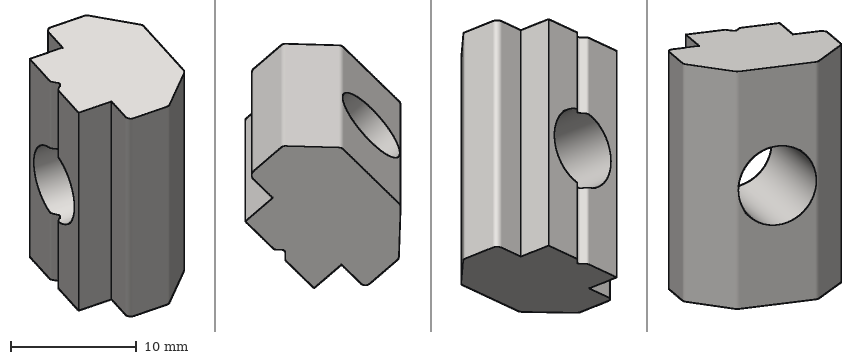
import cadquery as cq

width = 13.5
depth = 10.0
length = 20.0

stem_width = 8.0
stem_depth = 3.0
back_chamfer = 3.3
head_corner_radius = 0.5

groove_half_width = 0.62
groove_root_radius = 0.25
groove_edge_radius = 0.3

hole_diameter = 6.65

half_width = width / 2
half_stem = stem_width / 2
shoulder_y = stem_depth
chamfer_start_y = depth - back_chamfer
half_back = half_width - back_chamfer


def round_upright_edges(body, points, radius):
    """Round the edges parallel to Z that pass through the given XY points."""
    for x, y in points:
        edge = cq.selectors.NearestToPointSelector((x, y, length / 2))
        body = body.edges("|Z").edges(edge).fillet(radius)
    return body


def make_profile_body():
    """T-shaped prism with the V groove still sharp."""
    right_side = [
        (groove_half_width, 0),
        (half_stem, 0),
        (half_stem, shoulder_y),
        (half_width, shoulder_y),
        (half_width, chamfer_start_y),
        (half_back, depth),
    ]
    left_side = [(-x, y) for x, y in reversed(right_side)]
    groove_root = (0, groove_half_width)
    outline = [groove_root] + right_side + left_side
    return cq.Workplane("XY").polyline(outline).close().extrude(length)


def make_hole():
    """Round cutter along Y, through the full depth at mid length."""
    return (
        cq.Workplane("XZ", origin=(0, depth, length / 2))
        .circle(hole_diameter / 2)
        .extrude(depth)
    )


head_corners = [
    (side * x, y)
    for side in (-1, 1)
    for x, y in (
        (half_width, shoulder_y),
        (half_width, chamfer_start_y),
        (half_back, depth),
    )
]
groove_edges = [(-groove_half_width, 0), (groove_half_width, 0)]

body = make_profile_body()
body = round_upright_edges(body, head_corners, head_corner_radius)
body = round_upright_edges(body, [(0, groove_half_width)], groove_root_radius)
body = round_upright_edges(body, groove_edges, groove_edge_radius)

result = body.cut(make_hole())